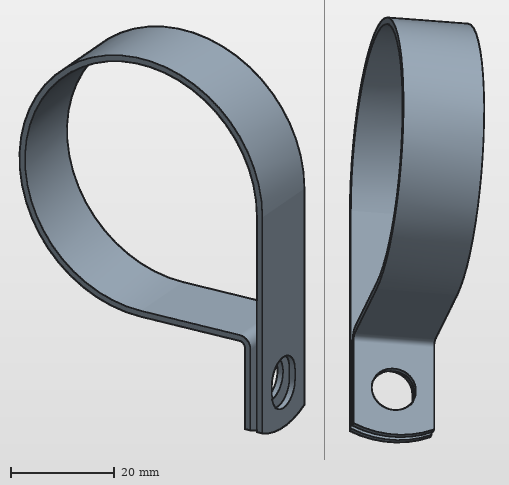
import cadquery as cq

strip_width = 15.9
thickness = 1.3
height = 74.95

loop_outer_diameter = 54.8
loop_outer_radius = loop_outer_diameter / 2
loop_mid_radius = loop_outer_radius - thickness / 2
bottom_z = loop_outer_radius - height

leg_gap = 1.4
bend_inner_radius = 1.2
bend_mid_radius = bend_inner_radius + thickness / 2
short_leg_x = loop_mid_radius - thickness - leg_gap

hole_diameter = 8.7
slot_length = 10.8
hole_edge_distance = 9.5
tip_rise = 1.7


def make_strip():
    """Bend the strip along its centre line, from the long leg round to the short leg."""
    centre_line = (
        cq.Workplane("XZ")
        .moveTo(loop_mid_radius, bottom_z)
        .lineTo(loop_mid_radius, 0)
        .threePointArc((-loop_mid_radius * 0.5**0.5, loop_mid_radius * 0.5**0.5), (0, -loop_mid_radius))
        .lineTo(short_leg_x - bend_mid_radius, -loop_mid_radius)
        .tangentArcPoint((bend_mid_radius, -bend_mid_radius))
        .lineTo(short_leg_x, bottom_z)
    )
    return (
        cq.Workplane("XY", origin=(loop_mid_radius, 0, bottom_z))
        .rect(thickness, strip_width)
        .sweep(centre_line)
    )


def make_side_envelope():
    """Outline of the strip seen along X: straight sides and a rounded lower end."""
    half_width = strip_width / 2
    return (
        cq.Workplane("YZ")
        .moveTo(-half_width, loop_outer_radius)
        .lineTo(-half_width, bottom_z + tip_rise)
        .threePointArc((0, bottom_z), (half_width, bottom_z + tip_rise))
        .lineTo(half_width, loop_outer_radius)
        .close()
        .extrude(loop_outer_radius, both=True)
    )


def make_bolt_hole():
    """Round cutter along X, wide enough for both legs."""
    return (
        cq.Workplane("YZ", origin=(0, 0, bottom_z + hole_edge_distance))
        .circle(hole_diameter / 2)
        .extrude(loop_outer_radius)
    )


def make_long_leg_slot():
    """Upright slot that lengthens the bolt hole in the long leg only."""
    return (
        cq.Workplane("YZ", origin=(loop_outer_radius, 0, bottom_z + hole_edge_distance))
        .slot2D(slot_length, hole_diameter, 90)
        .extrude(-thickness)
    )


result = (
    make_strip()
    .intersect(make_side_envelope())
    .cut(make_bolt_hole())
    .cut(make_long_leg_slot())
)